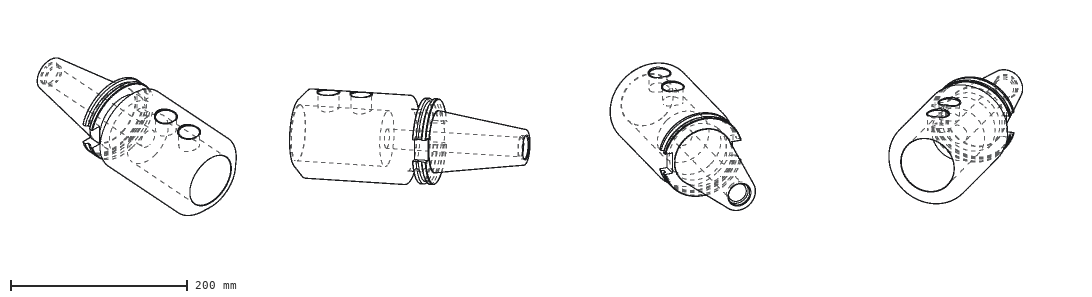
import cadquery as cq
import math

total_length = 266.72
shank_projection = 165.1
gauge_x = total_length - shank_projection
flange_start_x = gauge_x + 3.175
flange_width = 15.875
flange_end_x = flange_start_x + flange_width
body_start_x = gauge_x + 35.0

gauge_diameter = 69.97
neck_diameter = 70.2
taper_ratio = 7 / 24
taper_end_x = gauge_x + (neck_diameter - gauge_diameter) / taper_ratio
small_end_diameter = gauge_diameter - gauge_x * taper_ratio
small_end_round = 2.0
neck_fillet = 0.5

flange_diameter = 97.5
flange_chamfer = 0.8
groove_centre_x = gauge_x + 11.1
groove_top_width = 7.0
groove_depth = 2.9
groove_half_angle = math.radians(30)

slot_width = 25.4
slot_floor_plus_y = 37.7
slot_floor_minus_y = 35.3

body_diameter = 101.6
body_round = 2.0
nose_chamfer_length = 11.5
nose_chamfer_height = 12.0

cutter_bore_diameter = 63.5
cutter_bore_rim_diameter = 64.5
cutter_bore_depth = 104.0
drawbar_hole_diameter = 21.97
pilot_diameter = 26.2
pilot_land_end_x = 4.0
undercut_diameter = 26.7
undercut_cone_length = 0.9
pilot_rim_diameter = 28.2
pilot_depth = 6.0

screw_hole_diameter = 23.44
screw_recess_diameter = 26.0
front_screw_x = total_length - 35.6
screw_spacing = 38.4
screw_count = 2


def cylinder(diameter, start_x, end_x):
    """Cylinder on the X axis."""
    return cq.Workplane("YZ", origin=(start_x, 0, 0)).circle(diameter / 2).extrude(end_x - start_x)


def revolve_about_x(points):
    """Solid of revolution from a closed (x, radius) outline."""
    return cq.Workplane("XY").polyline(points).close().revolve(360, (0, 0, 0), (1, 0, 0))


def make_taper_and_neck():
    outline = [
        (0, 0),
        (0, small_end_diameter / 2),
        (taper_end_x, neck_diameter / 2),
        (body_start_x, neck_diameter / 2),
        (body_start_x, 0),
    ]
    return revolve_about_x(outline).faces("<X").edges().fillet(small_end_round)


def make_neck_fillet(wall_x):
    """Fillet ring where the neck runs into a wall that faces -X."""
    neck_radius = neck_diameter / 2
    arc_offset = neck_fillet * (1 - math.sqrt(0.5))
    return (
        cq.Workplane("XY")
        .moveTo(wall_x, 0)
        .lineTo(wall_x, neck_radius + neck_fillet)
        .threePointArc(
            (wall_x - arc_offset, neck_radius + arc_offset),
            (wall_x - neck_fillet, neck_radius),
        )
        .lineTo(wall_x - neck_fillet, 0)
        .close()
        .revolve(360, (0, 0, 0), (1, 0, 0))
    )


def make_flange():
    flange = cylinder(flange_diameter, flange_start_x, flange_end_x)
    flange = flange.faces("<X or >X").edges().chamfer(flange_chamfer)
    outer_radius = flange_diameter / 2
    floor_radius = outer_radius - groove_depth
    half_top = groove_top_width / 2
    half_floor = half_top - groove_depth * math.tan(groove_half_angle)
    groove = revolve_about_x([
        (groove_centre_x - half_top, outer_radius),
        (groove_centre_x - half_floor, floor_radius),
        (groove_centre_x + half_floor, floor_radius),
        (groove_centre_x + half_top, outer_radius),
    ])
    return flange.cut(groove)


def make_drive_slot(side, floor_distance):
    """Cutter for one drive slot; side is +1 for +Y and -1 for -Y."""
    slot_depth = flange_diameter / 2 - floor_distance
    slot_centre_y = side * (floor_distance + slot_depth / 2)
    slot_centre_x = (flange_start_x + flange_end_x) / 2
    slot = cq.Workplane("XY").box(flange_width, slot_depth, slot_width)
    return slot.translate((slot_centre_x, slot_centre_y, 0))


def make_body():
    body_radius = body_diameter / 2
    outline = [
        (body_start_x, 0),
        (body_start_x, body_radius),
        (total_length - nose_chamfer_length, body_radius),
        (total_length, body_radius - nose_chamfer_height),
        (total_length, 0),
    ]
    return revolve_about_x(outline).edges("%CIRCLE").fillet(body_round)


def make_pilot_bore():
    """Drawbar pilot at the small end: rim chamfer, land, then a slightly wider undercut."""
    rim_chamfer = (pilot_rim_diameter - pilot_diameter) / 2
    return revolve_about_x([
        (0, 0),
        (0, pilot_rim_diameter / 2),
        (rim_chamfer, pilot_diameter / 2),
        (pilot_land_end_x, pilot_diameter / 2),
        (pilot_land_end_x + undercut_cone_length, undercut_diameter / 2),
        (pilot_depth, undercut_diameter / 2),
        (pilot_depth, 0),
    ])


def make_cutter_bore():
    """Blind bore from the nose with a chamfered rim."""
    rim_chamfer = (cutter_bore_rim_diameter - cutter_bore_diameter) / 2
    bore_end_x = total_length - cutter_bore_depth
    return revolve_about_x([
        (bore_end_x, 0),
        (bore_end_x, cutter_bore_diameter / 2),
        (total_length - rim_chamfer, cutter_bore_diameter / 2),
        (total_length, cutter_bore_rim_diameter / 2),
        (total_length, 0),
    ])


def make_screw_hole(x):
    """Radial hole from the top of the body into the cutter bore, with a shallow flat recess."""
    top_z = body_diameter / 2
    recess_z = math.sqrt(top_z**2 - (screw_recess_diameter / 2) ** 2)
    hole = cq.Workplane("XY", origin=(x, 0, 0)).circle(screw_hole_diameter / 2).extrude(top_z)
    recess = (
        cq.Workplane("XY", origin=(x, 0, recess_z))
        .circle(screw_recess_diameter / 2)
        .extrude(top_z - recess_z)
    )
    return hole.union(recess)


holder = make_taper_and_neck()
holder = holder.union(make_flange())
holder = holder.union(make_body())
for wall_x in (flange_start_x, body_start_x):
    holder = holder.union(make_neck_fillet(wall_x))

holder = holder.cut(make_drive_slot(1, slot_floor_plus_y))
holder = holder.cut(make_drive_slot(-1, slot_floor_minus_y))

holder = holder.cut(cylinder(drawbar_hole_diameter, 0, total_length))
holder = holder.cut(make_pilot_bore())
holder = holder.cut(make_cutter_bore())
for index in range(screw_count):
    holder = holder.cut(make_screw_hole(front_screw_x - index * screw_spacing))

result = holder